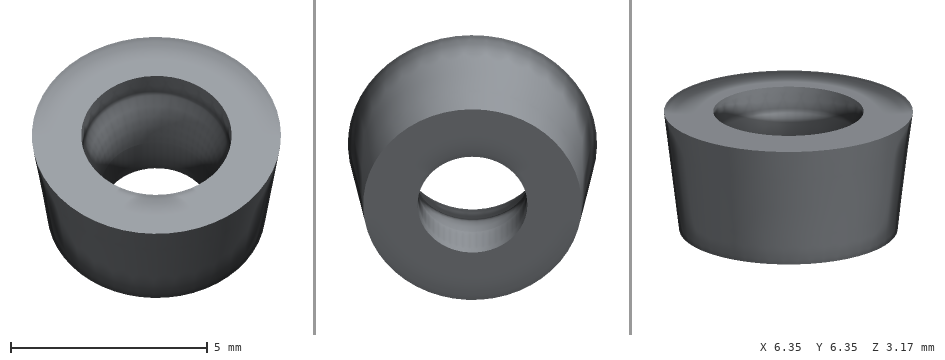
import cadquery as cq
import math

top_diameter = 6.35
height = 3.17
clearance_angle = 7.0
top_radius = top_diameter / 2
bottom_radius = top_radius - height * math.tan(math.radians(clearance_angle))

mouth_radius = 1.92
blend_top_radius = 1.875
blend_top_depth = 0.545
seat_top_radius = 1.83
seat_top_depth = 0.69
bore_radius = 2.8 / 2
bore_top_depth = 2.095

blend_top = (blend_top_radius, height - blend_top_depth)
seat_top = (seat_top_radius, height - seat_top_depth)
bore_top = (bore_radius, height - bore_top_depth)


half_section = (
    cq.Workplane("XZ")
    .moveTo(bore_radius, 0)
    .lineTo(*bore_top)
    .tangentArcPoint(seat_top, relative=False)
    .tangentArcPoint(blend_top, relative=False)
    .lineTo(mouth_radius, height)
    .lineTo(top_radius, height)
    .lineTo(bottom_radius, 0)
    .close()
)
result = half_section.revolve(360, (0, 0, 0), (0, 1, 0))